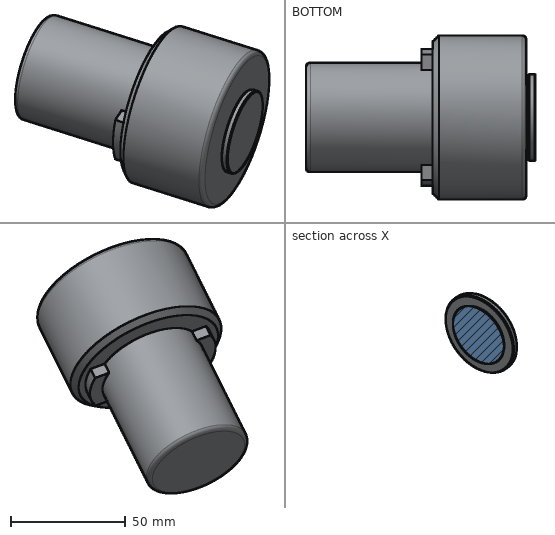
import cadquery as cq

handle_radius = 24.0
handle_length = 55.5
handle_end_round = 2.0

head_radius = 36.0
head_length = 41.0
head_chamfer = 2.75
head_end_round = 2.0

lug_radius = 30.0
lug_width = 24.0
lug_length = 5.0

neck_radius = 14.0
boss_radius = 14.25
boss_length = 0.5
neck_length = 0.5
button_radius = 19.0
button_thickness = 3.0
button_bevel = 0.4

head_start = handle_length
head_end = head_start + head_length
neck_start = head_end + boss_length
button_start = neck_start + neck_length


def cylinder(start, length, radius):
    """Cylinder on the X axis running from X = start towards +X."""
    return cq.Workplane("YZ", origin=(start, 0, 0)).circle(radius).extrude(length)


def make_handle():
    handle = cylinder(0, handle_length, handle_radius)
    return handle.faces("<X").edges().fillet(handle_end_round)


def make_head():
    head = cylinder(head_start, head_length, head_radius)
    head = head.faces(">X").edges().fillet(head_end_round)
    return head.faces("<X").edges().chamfer(head_chamfer)


def make_lugs():
    """A disc trimmed to a band of the lug width; the handle fills its middle."""
    disc = cylinder(head_start - lug_length, lug_length, lug_radius)
    band = cq.Workplane("XY").box(lug_length, 2 * lug_radius, lug_width)
    return disc.intersect(band.translate((head_start - lug_length / 2, 0, 0)))


def make_button():
    """Boss, neck and revolved disc with both rims bevelled at 45 degrees."""
    boss = cylinder(head_end, boss_length, boss_radius)
    neck = cylinder(neck_start, neck_length, neck_radius)
    rim_start = button_start + button_bevel
    button_end = button_start + button_thickness
    rim_end = button_end - button_bevel
    face_radius = button_radius - button_bevel
    button = (
        cq.Workplane("XY")
        .moveTo(button_start, 0)
        .lineTo(button_start, face_radius)
        .lineTo(rim_start, button_radius)
        .lineTo(rim_end, button_radius)
        .lineTo(button_end, face_radius)
        .lineTo(button_end, 0)
        .close()
        .revolve(360, (0, 0, 0), (1, 0, 0))
    )
    return boss.union(neck).union(button)


result = make_handle().union(make_head()).union(make_lugs()).union(make_button())